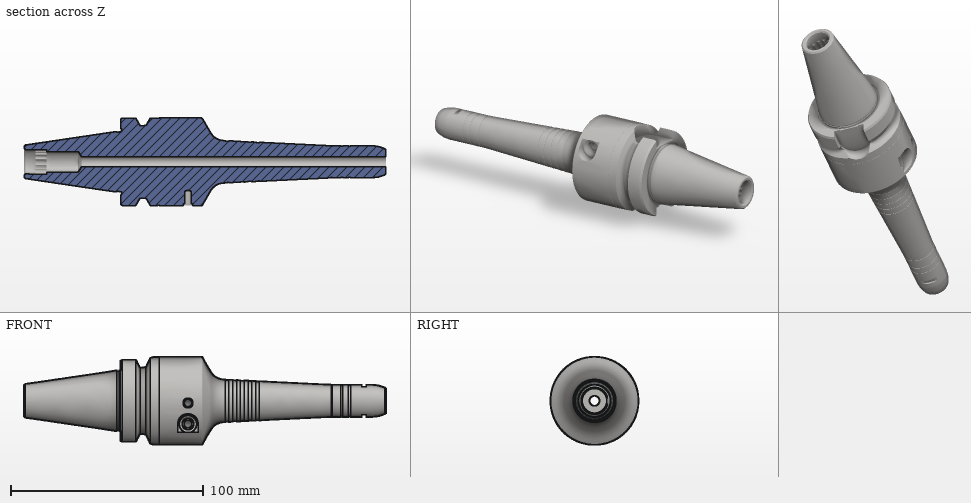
import cadquery as cq
import math

length = 188.4
body_radius = 23.0

taper_ratio = 7 / 24
gauge_radius = 31.8 / 2
taper_length = 48.5
taper_end_radius = gauge_radius - taper_length * taper_ratio / 2
rear_chamfer = 0.8

relief_radius = 15.5
collar_start = 49.5
collar_radius = 15.8
undercut_end = 50.7
undercut_radius = 17.1

flange_step = 0.1
flange_radius = body_radius - flange_step
flange_start = 50.1
flange_end = 58.2
flange_chamfer_length = 1.1
flange_chamfer_height = 0.5
groove_radius = 19.0
groove_end = 63.5
vee_side_angle = math.radians(30)
vee_run = (flange_radius - groove_radius) * math.tan(vee_side_angle)

band_end = 70.5

body_end = 92.7
body_edge_radius = 1.0
shoulder_angle = math.radians(60)
shoulder_end = 97.2
shoulder_end_radius = body_radius - (shoulder_end - body_end) * math.tan(shoulder_angle)

neck_start = 103.6
neck_start_radius = 22.5 / 2
neck_end = 159.8
nose_radius = 8.5
nose_round_start = 180.9
tip_start = 187.6
tip_start_radius = 7.0
tip_radius = 6.4

ring_depth = 0.2
neck_ring_count = 5
neck_ring_first = 104.8
neck_ring_pitch = 4.0
neck_ring_width = 1.9
nose_ring_starts = (164.8, 168.8)
nose_ring_width = 1.1
end_ring_width = 0.5

nose_slot_start = 175.8
nose_slot_width = 2.3
nose_slot_floor = 7.3

drive_slot_width = 16.4
drive_slot_floor = 16.4
drive_slot_end = 67.5

bore_chamfer = 0.8
entry_diameter = 12.5
entry_depth = 6.0
core_diameter = 10.4
core_depth = 28.3
through_diameter = 5.0
scallop_count = 12
scallop_diameter = 2.3
scallop_depth = 5.7
drill_tip_angle = math.radians(59)

cross_hole_x = 85.3
seat_offset = 12.0
seat_floor = 16.2
seat_diameter = 10.5
sink_diameter = 9.0
sink_depth = 1.1
screw_diameter = 6.0
screw_depth = 2.8
socket_diameter = 4.1
socket_depth = 1.9
side_hole_z = -1.1
side_hole_diameter = 5.0
side_hole_core_diameter = 4.0
side_hole_step_depth = 1.0
side_hole_depth = 7.5


def tip_length(diameter):
    return diameter / 2 / math.tan(drill_tip_angle)


def revolve_about_x(profile):
    return profile.close().revolve(360, (0, 0, 0), (1, 0, 0))


def outer_shape():
    edge_trim = body_edge_radius * math.tan(shoulder_angle / 2)
    profile = (
        cq.Workplane("XY")
        .lineTo(0, taper_end_radius - rear_chamfer)
        .lineTo(rear_chamfer, taper_end_radius)
        .lineTo(taper_length, gauge_radius)
        .lineTo(taper_length, relief_radius)
        .lineTo(collar_start, relief_radius)
        .lineTo(collar_start, collar_radius)
        .lineTo(undercut_end, collar_radius)
        .lineTo(undercut_end, undercut_radius)
        .lineTo(flange_start, undercut_radius)
        .lineTo(flange_start, flange_radius - flange_chamfer_height)
        .lineTo(flange_start + flange_chamfer_length, flange_radius)
        .lineTo(flange_end, flange_radius)
        .lineTo(flange_end + vee_run, groove_radius)
        .lineTo(groove_end, groove_radius)
        .lineTo(groove_end + vee_run, flange_radius)
        .lineTo(band_end, flange_radius)
        .lineTo(band_end, body_radius)
        .lineTo(body_end - edge_trim, body_radius)
        .tangentArcPoint(
            (
                body_end + edge_trim * math.cos(shoulder_angle),
                body_radius - edge_trim * math.sin(shoulder_angle),
            ),
            relative=False,
        )
        .lineTo(shoulder_end, shoulder_end_radius)
        .tangentArcPoint((neck_start, neck_start_radius), relative=False)
        .lineTo(neck_end, nose_radius)
        .lineTo(nose_round_start, nose_radius)
        .tangentArcPoint((tip_start, tip_start_radius), relative=False)
        .lineTo(length, tip_radius)
        .lineTo(length, 0)
    )
    return revolve_about_x(profile)


def neck_radius_at(x):
    fraction = (x - neck_start) / (neck_end - neck_start)
    return neck_start_radius + fraction * (nose_radius - neck_start_radius)


def ring_groove(start, width, start_radius, end_radius):
    profile = (
        cq.Workplane("XY")
        .moveTo(start, start_radius - ring_depth)
        .lineTo(start, body_radius)
        .lineTo(start + width, body_radius)
        .lineTo(start + width, end_radius - ring_depth)
    )
    return revolve_about_x(profile)


def neck_ring(index):
    start = neck_ring_first + index * neck_ring_pitch
    end = start + neck_ring_width
    return ring_groove(start, neck_ring_width, neck_radius_at(start), neck_radius_at(end))


def central_bore():
    core_end = core_depth + tip_length(core_diameter) - tip_length(through_diameter)
    profile = (
        cq.Workplane("XY")
        .lineTo(0, entry_diameter / 2 + bore_chamfer)
        .lineTo(bore_chamfer, entry_diameter / 2)
        .lineTo(entry_depth, entry_diameter / 2)
        .lineTo(entry_depth, core_diameter / 2)
        .lineTo(core_depth, core_diameter / 2)
        .lineTo(core_end, through_diameter / 2)
        .lineTo(length, through_diameter / 2)
        .lineTo(length, 0)
    )
    return revolve_about_x(profile)


def bore_scallops():
    """Round notches in the core bore wall, reaching out to the entry bore wall."""
    return (
        cq.Workplane("YZ", origin=(entry_depth, 0, 0))
        .polarArray((entry_diameter - scallop_diameter) / 2, 0, 360, scallop_count)
        .circle(scallop_diameter / 2)
        .extrude(scallop_depth)
    )


def drive_slot():
    start = taper_length
    slot_radius = drive_slot_width / 2
    straight_end = drive_slot_end - slot_radius
    return (
        cq.Workplane("XY", origin=(0, 0, drive_slot_floor))
        .moveTo(start, -slot_radius)
        .lineTo(straight_end, -slot_radius)
        .threePointArc((drive_slot_end, 0), (straight_end, slot_radius))
        .lineTo(start, slot_radius)
        .close()
        .extrude(body_radius)
    )


def nose_slot():
    return (
        cq.Workplane("XY")
        .box(nose_slot_width, 2 * nose_radius, nose_radius, centered=(False, True, False))
        .translate((nose_slot_start, 0, nose_slot_floor))
    )


def side_cutter(outline, z):
    """Revolve an outline about a Y axis at the cross hole position, on the -Y side."""
    return (
        outline.close()
        .revolve(360, (0, 0, 0), (0, 1, 0))
        .translate((cross_hole_x, 0, z))
    )


def screw_seat():
    screw_floor = seat_floor - sink_depth - screw_depth
    socket_floor = screw_floor - socket_depth
    outline = (
        cq.Workplane("XY")
        .moveTo(0, -body_radius)
        .lineTo(seat_diameter / 2, -body_radius)
        .lineTo(seat_diameter / 2, -seat_floor)
        .lineTo(sink_diameter / 2, -seat_floor)
        .lineTo(screw_diameter / 2, -seat_floor + sink_depth)
        .lineTo(screw_diameter / 2, -screw_floor)
        .lineTo(socket_diameter / 2, -screw_floor)
        .lineTo(socket_diameter / 2, -socket_floor)
        .lineTo(0, -socket_floor + tip_length(socket_diameter))
    )
    open_side = (
        cq.Workplane("XY")
        .box(
            seat_diameter,
            body_radius - seat_floor,
            body_radius - seat_offset,
            centered=(True, False, False),
        )
        .translate((cross_hole_x, -body_radius, -body_radius))
    )
    return side_cutter(outline, -seat_offset).union(open_side)


def side_hole():
    step = body_radius - side_hole_step_depth
    floor = body_radius - side_hole_depth
    outline = (
        cq.Workplane("XY")
        .moveTo(0, -body_radius)
        .lineTo(side_hole_diameter / 2, -body_radius)
        .lineTo(side_hole_diameter / 2, -step)
        .lineTo(side_hole_core_diameter / 2, -step)
        .lineTo(side_hole_core_diameter / 2, -floor)
        .lineTo(0, -floor + tip_length(side_hole_core_diameter))
    )
    return side_cutter(outline, side_hole_z)


result = outer_shape().cut(central_bore()).cut(bore_scallops()).cut(side_hole())

for ring in range(neck_ring_count):
    result = result.cut(neck_ring(ring))

result = result.cut(ring_groove(neck_end, end_ring_width, nose_radius, nose_radius))

for ring_start in nose_ring_starts:
    result = result.cut(ring_groove(ring_start, nose_ring_width, nose_radius, nose_radius))

for cutter in (drive_slot(), nose_slot(), screw_seat()):
    for turn in (0, 180):
        result = result.cut(cutter.rotate((0, 0, 0), (1, 0, 0), turn))